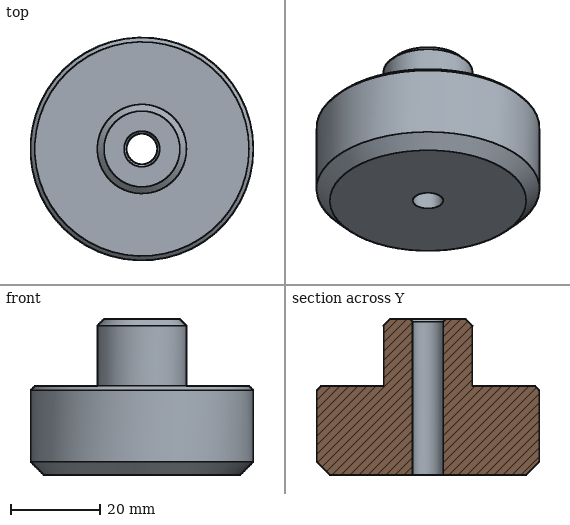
import cadquery as cq

base_diameter = 50.0
base_height = 20.0
base_top_chamfer = 1.0
base_bottom_chamfer = 3.0

stem_diameter = 20.0
stem_height = 15.0
stem_chamfer = 1.5

bore_diameter = 6.8
bore_mouth_diameter = 8.0
bore_chamfer = (bore_mouth_diameter - bore_diameter) / 2


def make_base():
    disc = cq.Workplane("XY").circle(base_diameter / 2).extrude(base_height)
    disc = disc.faces(">Z").chamfer(base_top_chamfer)
    return disc.faces("<Z").chamfer(base_bottom_chamfer)


def make_stem():
    stem = cq.Workplane("XY").workplane(offset=base_height).circle(stem_diameter / 2).extrude(stem_height)
    return stem.faces(">Z").chamfer(stem_chamfer)


def make_bore():
    bore = cq.Workplane("XY").circle(bore_diameter / 2).extrude(base_height + stem_height)
    mouth = (
        cq.Workplane("XY")
        .workplane(offset=base_height + stem_height)
        .circle(bore_mouth_diameter / 2)
        .workplane(offset=-bore_chamfer)
        .circle(bore_diameter / 2)
        .loft()
    )
    return bore.union(mouth)


result = make_base().union(make_stem()).cut(make_bore())